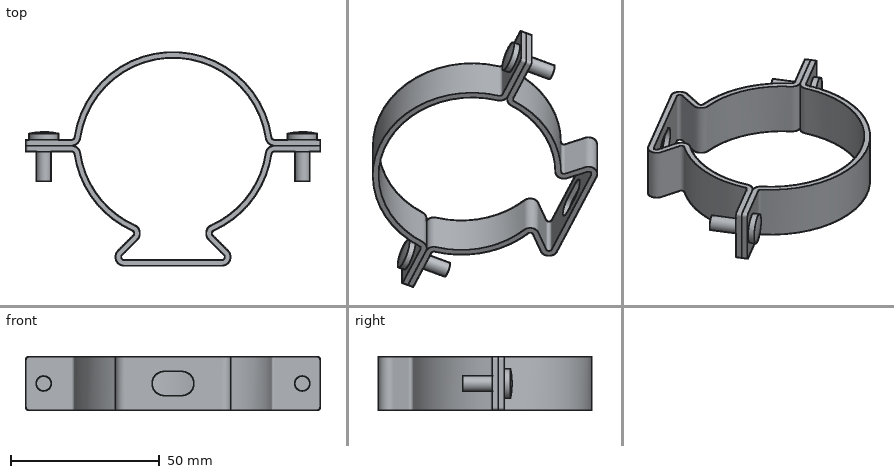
import cadquery as cq
import math

overall_length = 99.0
band_width = 18.0
band_thickness = 2.0
ring_outer_radius = 33.5
ring_centre_shift = band_thickness
bend_inner_radius = 1.0
flange_corner_radius = 1.0

base_outer_y = -40.4
neck_bend_x = 14.1
slot_length = 14.1
slot_height = 8.1

screw_x = 43.5
shank_diameter = 5.0
shank_tip_y = -12.0
head_diameter = 10.0
head_rim_height = 2.1
head_dome_height = 0.6

half_length = overall_length / 2
mid_thickness = band_thickness / 2
ring_mid_radius = ring_outer_radius - mid_thickness
bend_mid_radius = bend_inner_radius + mid_thickness
bend_centre_radius = ring_mid_radius + bend_mid_radius

flange_bend_y = mid_thickness + bend_mid_radius
flange_bend_x = math.sqrt(bend_centre_radius**2 - (flange_bend_y + ring_centre_shift) ** 2)


def ring_point(bend_x, bend_y, centre_y):
    """Point on the ring's middle line where a bend centred at (bend_x, bend_y) touches it."""
    ratio = ring_mid_radius / bend_centre_radius
    return bend_x * ratio, centre_y + (bend_y - centre_y) * ratio


def mirrored(point):
    """The same point on the other side of the YZ plane."""
    return -point[0], point[1]


def make_band(middle_line, joint_side):
    """Sweep the strip section along its middle line, then round the flanges and drill them."""
    section = cq.Workplane("YZ", origin=(-half_length, joint_side * mid_thickness, 0))
    band = section.rect(band_thickness, band_width).sweep(middle_line)
    band = band.faces("<X or >X").edges("|Y").fillet(flange_corner_radius)
    holes = (
        cq.Workplane("XZ")
        .pushPoints([(-screw_x, 0), (screw_x, 0)])
        .circle(shank_diameter / 2)
        .extrude(2 * band_thickness, both=True)
    )
    return band.cut(holes)


def make_upper_half():
    """Plain half ring with a flange at each end."""
    ring_start = ring_point(-flange_bend_x, flange_bend_y, -ring_centre_shift)
    middle_line = (
        cq.Workplane("XY")
        .moveTo(-half_length, mid_thickness)
        .lineTo(-flange_bend_x, mid_thickness)
        .tangentArcPoint(ring_start, relative=False)
        .tangentArcPoint(mirrored(ring_start), relative=False)
        .tangentArcPoint((flange_bend_x, mid_thickness), relative=False)
        .lineTo(half_length, mid_thickness)
    )
    return make_band(middle_line, 1)


def make_lower_half():
    """Half ring opened at the bottom into two 45 degree legs and a slotted mounting base."""
    ring_start = ring_point(-flange_bend_x, -flange_bend_y, ring_centre_shift)

    neck_bend_y = ring_centre_shift - math.sqrt(bend_centre_radius**2 - neck_bend_x**2)
    ring_end = ring_point(-neck_bend_x, neck_bend_y, ring_centre_shift)
    diagonal_step = bend_mid_radius * math.sqrt(0.5)
    leg_start = (-neck_bend_x + diagonal_step, neck_bend_y - diagonal_step)

    base_mid_y = base_outer_y + mid_thickness
    base_bend_y = base_mid_y + bend_mid_radius
    leg_end_y = base_bend_y + diagonal_step
    leg_end = (leg_start[0] - (leg_start[1] - leg_end_y), leg_end_y)
    base_start = (leg_end[0] + diagonal_step, base_mid_y)

    middle_line = (
        cq.Workplane("XY")
        .moveTo(-half_length, -mid_thickness)
        .lineTo(-flange_bend_x, -mid_thickness)
        .tangentArcPoint(ring_start, relative=False)
        .tangentArcPoint(ring_end, relative=False)
        .tangentArcPoint(leg_start, relative=False)
        .lineTo(*leg_end)
        .tangentArcPoint(base_start, relative=False)
        .lineTo(*mirrored(base_start))
        .tangentArcPoint(mirrored(leg_end), relative=False)
        .lineTo(*mirrored(leg_start))
        .tangentArcPoint(mirrored(ring_end), relative=False)
        .tangentArcPoint(mirrored(ring_start), relative=False)
        .tangentArcPoint((flange_bend_x, -mid_thickness), relative=False)
        .lineTo(half_length, -mid_thickness)
    )
    slot = (
        cq.Workplane("XZ", origin=(0, base_mid_y, 0))
        .slot2D(slot_length, slot_height)
        .extrude(band_thickness, both=True)
    )
    return make_band(middle_line, -1).cut(slot)


def make_screw(x):
    """Screw along Y: plain shank and a round head with a slightly domed top."""
    head_radius = head_diameter / 2
    shank_radius = shank_diameter / 2
    seat_y = band_thickness
    rim_y = seat_y + head_rim_height
    top_y = rim_y + head_dome_height
    dome_radius = (head_radius**2 + head_dome_height**2) / (2 * head_dome_height)
    mid_radius = head_radius / 2
    mid_y = top_y - dome_radius + math.sqrt(dome_radius**2 - mid_radius**2)
    return (
        cq.Workplane("XY")
        .moveTo(0, shank_tip_y)
        .lineTo(shank_radius, shank_tip_y)
        .lineTo(shank_radius, seat_y)
        .lineTo(head_radius, seat_y)
        .lineTo(head_radius, rim_y)
        .threePointArc((mid_radius, mid_y), (0, top_y))
        .close()
        .revolve(360, (0, 0, 0), (0, 1, 0))
        .translate((x, 0, 0))
    )


upper_half = make_upper_half()
lower_half = make_lower_half()
screws = [make_screw(side * screw_x) for side in (-1, 1)]

result = cq.Compound.makeCompound(
    [upper_half.val(), lower_half.val(), *[screw.val() for screw in screws]]
)